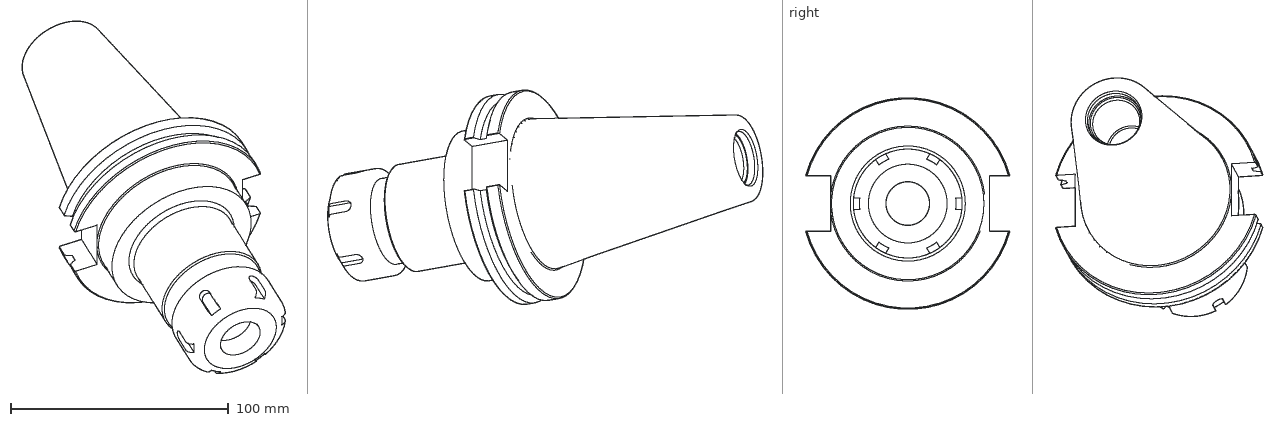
import cadquery as cq
import math


TOTAL_LENGTH = 203.4
BORE_D = 20.0

GAUGE_D = 69.8
TAPER_RATE = 7 / 24
TAPER_LENGTH = 101.7
TAPER_SMALL_R = (GAUGE_D - TAPER_RATE * TAPER_LENGTH) / 2
TAPER_END_FILLET = 2.0

MOUTH_D = 26.5
PILOT_D = 25.0
PILOT_DEPTH = 4.7
COUNTERSINK_ANGLE = 30.0
THREAD_MOUTH_D = 23.5
THREAD_D = 22.0
THREAD_END = 40.7

FLANGE_D = 97.2
FLANGE_START = 103.1
FLANGE_END = 121.0
FLANGE_CHAMFER = 0.6
FLANGE_ROOT_FILLET = 0.6
GROOVE_CENTER = 112.7
GROOVE_FLOOR_WIDTH = 3.0
GROOVE_DEPTH = 3.3
GROOVE_FLANK_ANGLE = 30.0
KEYWAY_WIDTH = 25.5
KEYWAY_RIM_CHAMFER = 0.3
KEYWAY_FLOOR_BACK = 37.6
KEYWAY_FLOOR_FRONT = 35.4

COLLAR_D = 70.0
COLLAR_END = 136.7
SHAFT_D = 50.0
SHAFT_END = 171.8
SHAFT_CHAMFER = 0.8
FLARE_LENGTH = 2.5
FLARE_HEIGHT = 1.5
NOSE_D = 40.0
NOSE_ROOT_FILLET = 0.6
NOSE_ENGAGEMENT = 12.2

NUT_START = 180.8
NUT_D = 50.0
NUT_BACK_FILLET = 1.8
NUT_SHOULDER_START = 197.9
NUT_SHOULDER_FILLET = 2.2
NUT_CONE_ANGLE = 60.0
NUT_CONE_SMALL_D = 38.5
NUT_FACE_D = 36.2
SLOT_COUNT = 6
SLOT_WIDTH = 5.3
FIRST_SLOT_ANGLE = 90.0
SLOT_START = 188.3
SLOT_FLOOR_R = 22.2

NOSE_END = NUT_START + NOSE_ENGAGEMENT


def revolve_about_x(profile):
    """Turn a closed (x, radius) profile about the tool axis."""
    return profile.close().revolve(360, (0, 0, 0), (1, 0, 0))


def disc(diameter, start, end):
    """Cylinder on the tool axis from x = start to x = end."""
    return cq.Workplane("YZ", origin=(start, 0, 0)).circle(diameter / 2).extrude(end - start)


def make_shank():
    """Taper with a rounded small end."""
    profile = (
        cq.Workplane("XY")
        .lineTo(0, TAPER_SMALL_R)
        .lineTo(TAPER_LENGTH, GAUGE_D / 2)
        .lineTo(FLANGE_START - FLANGE_ROOT_FILLET, GAUGE_D / 2)
        .radiusArc((FLANGE_START, GAUGE_D / 2 + FLANGE_ROOT_FILLET), -FLANGE_ROOT_FILLET)
        .lineTo(FLANGE_START, 0)
    )
    return revolve_about_x(profile).faces("<X").edges().fillet(TAPER_END_FILLET)


def make_flange():
    """Gripper flange with a V-groove and two keyways of unequal depth."""
    flange = disc(FLANGE_D, FLANGE_START, FLANGE_END).faces("<X or >X").edges().chamfer(FLANGE_CHAMFER)

    floor_half = GROOVE_FLOOR_WIDTH / 2
    mouth_half = floor_half + GROOVE_DEPTH * math.tan(math.radians(GROOVE_FLANK_ANGLE))
    rim_r = FLANGE_D / 2
    groove = (
        cq.Workplane("XY")
        .moveTo(GROOVE_CENTER - mouth_half, rim_r)
        .lineTo(GROOVE_CENTER - floor_half, rim_r - GROOVE_DEPTH)
        .lineTo(GROOVE_CENTER + floor_half, rim_r - GROOVE_DEPTH)
        .lineTo(GROOVE_CENTER + mouth_half, rim_r)
    )
    flange = flange.cut(revolve_about_x(groove))

    width = FLANGE_END - FLANGE_START
    keyway = cq.Workplane("XY").box(width, rim_r, KEYWAY_WIDTH, centered=(False, False, True))
    back_keyway = keyway.translate((FLANGE_START, KEYWAY_FLOOR_BACK, 0))
    front_keyway = keyway.translate((FLANGE_START, -KEYWAY_FLOOR_FRONT - rim_r, 0))
    flange = flange.cut(back_keyway).cut(front_keyway)
    wall_corners = flange.edges("|X")
    rim_corners = wall_corners.filter(lambda edge: abs(edge.Center().y) > rim_r - GROOVE_DEPTH)
    return rim_corners.chamfer(KEYWAY_RIM_CHAMFER)


def make_front_end():
    """Collar, flared shaft and nose in front of the flange."""
    collar_r = COLLAR_D / 2
    shaft_r = SHAFT_D / 2
    nose_r = NOSE_D / 2
    profile = (
        cq.Workplane("XY")
        .moveTo(FLANGE_END, 0)
        .lineTo(FLANGE_END, collar_r + FLANGE_ROOT_FILLET)
        .radiusArc((FLANGE_END + FLANGE_ROOT_FILLET, collar_r), -FLANGE_ROOT_FILLET)
        .lineTo(COLLAR_END, collar_r)
        .lineTo(COLLAR_END, shaft_r + FLARE_HEIGHT)
        .lineTo(COLLAR_END + FLARE_LENGTH, shaft_r)
        .lineTo(SHAFT_END - SHAFT_CHAMFER, shaft_r)
        .lineTo(SHAFT_END, shaft_r - SHAFT_CHAMFER)
        .lineTo(SHAFT_END, nose_r + NOSE_ROOT_FILLET)
        .radiusArc((SHAFT_END + NOSE_ROOT_FILLET, nose_r), -NOSE_ROOT_FILLET)
        .lineTo(NOSE_END, nose_r)
        .lineTo(NOSE_END, 0)
    )
    return revolve_about_x(profile)


def make_holder_bore():
    """Clear bore with a countersunk pilot and a thread bore at the drawbar end."""
    slope = math.tan(math.radians(COUNTERSINK_ANGLE))
    mouth_chamfer = (MOUTH_D - PILOT_D) / 2 / slope
    thread_chamfer = (THREAD_MOUTH_D - THREAD_D) / 2 / slope
    profile = (
        cq.Workplane("XY")
        .lineTo(0, MOUTH_D / 2)
        .lineTo(mouth_chamfer, PILOT_D / 2)
        .lineTo(PILOT_DEPTH, PILOT_D / 2)
        .lineTo(PILOT_DEPTH, THREAD_MOUTH_D / 2)
        .lineTo(PILOT_DEPTH + thread_chamfer, THREAD_D / 2)
        .lineTo(THREAD_END, THREAD_D / 2)
        .lineTo(THREAD_END, BORE_D / 2)
        .lineTo(NOSE_END, BORE_D / 2)
        .lineTo(NOSE_END, 0)
    )
    return revolve_about_x(profile)


def make_holder():
    body = make_shank().union(make_flange()).union(make_front_end())
    return body.cut(make_holder_bore())


def make_nut_blank():
    """Turned nut with a rounded back edge and a rounded conical front."""
    nut_r = NUT_D / 2
    face_r = NUT_FACE_D / 2
    cone_small_r = NUT_CONE_SMALL_D / 2
    angle = math.radians(NUT_CONE_ANGLE)
    cone_start = NUT_SHOULDER_START + NUT_SHOULDER_FILLET * math.sin(angle)
    cone_large_r = nut_r - NUT_SHOULDER_FILLET * (1 - math.cos(angle))
    cone_end = cone_start + (cone_large_r - cone_small_r) / math.tan(angle)
    profile = (
        cq.Workplane("XY")
        .moveTo(NUT_START, 0)
        .lineTo(NUT_START, nut_r - NUT_BACK_FILLET)
        .radiusArc((NUT_START + NUT_BACK_FILLET, nut_r), NUT_BACK_FILLET)
        .lineTo(NUT_SHOULDER_START, nut_r)
        .radiusArc((cone_start, cone_large_r), NUT_SHOULDER_FILLET)
        .lineTo(cone_end, cone_small_r)
        .lineTo(TOTAL_LENGTH, face_r)
        .lineTo(TOTAL_LENGTH, 0)
    )
    return revolve_about_x(profile)


def make_spanner_slot():
    """Cutter for one round-ended slot, open toward the front, on the +Z side."""
    half = SLOT_WIDTH / 2
    arc_center = SLOT_START + half
    return (
        cq.Workplane("XY")
        .moveTo(arc_center, -half)
        .threePointArc((SLOT_START, 0), (arc_center, half))
        .lineTo(TOTAL_LENGTH, half)
        .lineTo(TOTAL_LENGTH, -half)
        .close()
        .extrude(NUT_D)
        .cut(disc(2 * SLOT_FLOOR_R, NUT_START, TOTAL_LENGTH))
    )


def make_nut():
    nut = make_nut_blank()
    nut = nut.cut(disc(NOSE_D, NUT_START, NOSE_END))
    nut = nut.cut(disc(BORE_D, NUT_START, TOTAL_LENGTH))
    for index in range(SLOT_COUNT):
        angle = FIRST_SLOT_ANGLE + index * 360 / SLOT_COUNT
        nut = nut.cut(make_spanner_slot().rotate((0, 0, 0), (1, 0, 0), angle))
    return nut


holder = make_holder()
nut = make_nut()

result = cq.Compound.makeCompound([holder.val(), nut.val()])